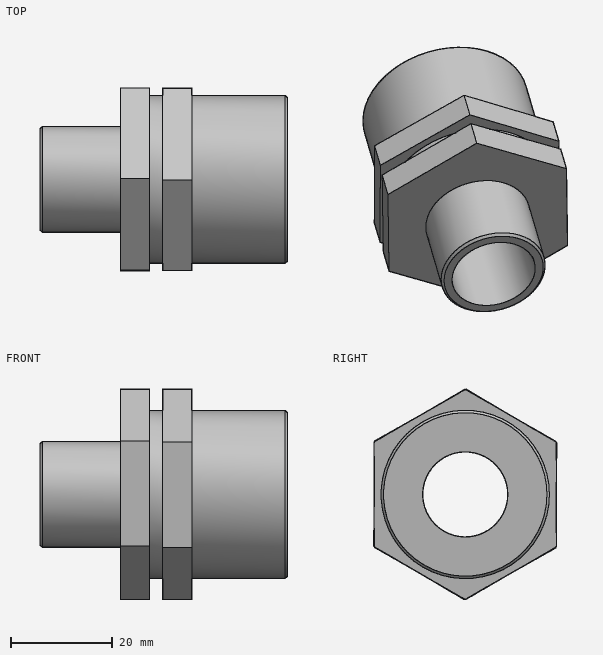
import cadquery as cq
import math

total_length = 49.0
spigot_length = 15.92
hex_thickness = 5.8
hex_gap = 2.55
first_hex_start = spigot_length
second_hex_start = first_hex_start + hex_thickness + hex_gap

spigot_diameter = 20.95
body_diameter = 33.25
bore_diameter = 16.75
edge_chamfer = 0.5

across_flats = 36.0
across_corners = across_flats / math.cos(math.radians(30))
first_hex_turn = -0.6
second_hex_turn = 0.2


def cylinder(start, end, diameter):
    """Solid cylinder on the X axis."""
    return cq.Workplane("YZ", origin=(start, 0, 0)).circle(diameter / 2).extrude(end - start)


def hexagon(start, turn):
    """Hexagonal collar on the X axis; at zero turn its corners point along Z."""
    prism = (
        cq.Workplane("YZ", origin=(start, 0, 0))
        .polygon(6, across_corners)
        .extrude(hex_thickness)
    )
    return prism.rotate((0, 0, 0), (1, 0, 0), 90 + turn)


spigot = cylinder(0, first_hex_start, spigot_diameter).faces("<X").chamfer(edge_chamfer)
body = cylinder(first_hex_start, total_length, body_diameter).faces(">X").chamfer(edge_chamfer)

first_hex = hexagon(first_hex_start, first_hex_turn)
second_hex = hexagon(second_hex_start, second_hex_turn)

bore = cylinder(0, total_length, bore_diameter)

result = spigot.union(body).union(first_hex).union(second_hex).cut(bore)